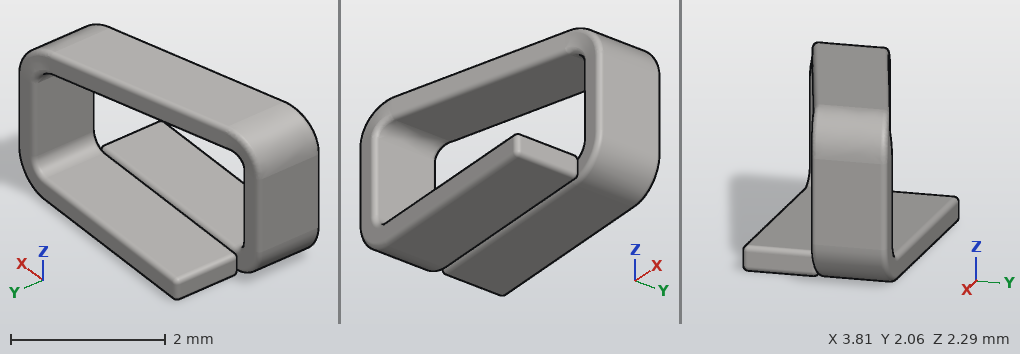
import cadquery as cq
import math

LENGTH = 3.81
DEPTH = 2.06
HEIGHT = 2.29

STRIP_WIDTH = 1.025
STRIP_THICK = 0.35
BEND_OUTER = 0.568
EDGE_ROUND = 0.075
END_INSET = 0.39

BEND_STEPS = 6

half_thick = STRIP_THICK / 2
bend_inner = BEND_OUTER - STRIP_THICK
bend_middle = BEND_OUTER - half_thick
column_top = HEIGHT - BEND_OUTER
front_y = STRIP_WIDTH / 2
back_y = DEPTH - STRIP_WIDTH / 2

slope = (back_y - front_y) / (LENGTH - STRIP_THICK)


def strip_section(x, z, angle):
    """Rounded strip section of the crossing, centred at x and z.

    Its width stays along Y. The angle in degrees is how far the strip has turned
    from vertical (0) towards +X (90).
    """
    turn = math.radians(angle)
    plane = cq.Plane(
        origin=(x, front_y + slope * (x - half_thick), z),
        xDir=(0, 1, 0),
        normal=(math.sin(turn), 0, math.cos(turn)),
    )
    outline = cq.Sketch().rect(STRIP_WIDTH, STRIP_THICK).vertices().fillet(EDGE_ROUND)
    return outline.moved(cq.Location(plane))


def front_turn():
    """Front bottom bar with its free end, lower bend and column, with rounded edges."""
    bar_end = LENGTH - END_INSET
    outer_mid = BEND_OUTER - BEND_OUTER * math.sqrt(0.5)
    inner_mid = BEND_OUTER - bend_inner * math.sqrt(0.5)
    return (
        cq.Workplane("XZ")
        .moveTo(bar_end, 0)
        .lineTo(BEND_OUTER, 0)
        .threePointArc((outer_mid, outer_mid), (0, BEND_OUTER))
        .lineTo(0, column_top)
        .lineTo(STRIP_THICK, column_top)
        .lineTo(STRIP_THICK, BEND_OUTER)
        .threePointArc((inner_mid, inner_mid), (BEND_OUTER, STRIP_THICK))
        .lineTo(bar_end, STRIP_THICK)
        .close()
        .extrude(-STRIP_WIDTH)
        .edges("not >Z")
        .fillet(EDGE_ROUND)
    )


def front_upper_bend():
    """Skewed bend from the front column into the crossing run."""
    sections = []
    for step in range(BEND_STEPS + 1):
        angle = 90 * step / BEND_STEPS
        x = BEND_OUTER - bend_middle * math.cos(math.radians(angle))
        z = column_top + bend_middle * math.sin(math.radians(angle))
        sections.append(strip_section(x, z, angle))
    return cq.Workplane().placeSketch(*sections).loft()


def crossing_run():
    """Straight skewed bar along the top, between the two upper bends."""
    run_z = HEIGHT - half_thick
    start = strip_section(BEND_OUTER, run_z, 90)
    end = strip_section(LENGTH - BEND_OUTER, run_z, 90)
    return cq.Workplane().placeSketch(start, end).loft()


front_half = front_turn().union(front_upper_bend())
axis_bottom = (LENGTH / 2, DEPTH / 2, 0)
axis_top = (LENGTH / 2, DEPTH / 2, HEIGHT)
back_half = front_half.rotate(axis_bottom, axis_top, 180)

result = front_half.union(crossing_run()).union(back_half)